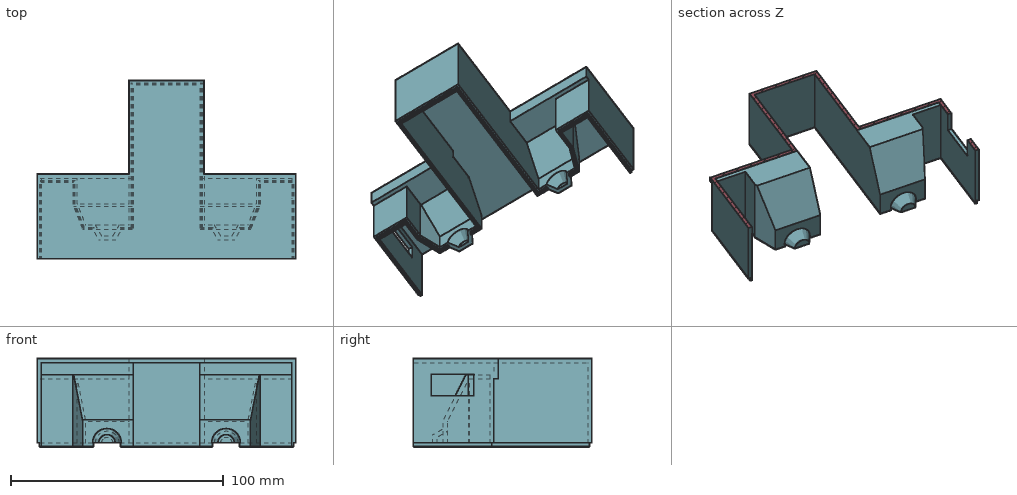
import cadquery as cq
import math

wall = 2.0
bar_length = 121.75
bar_depth = 40.0
stem_width = 35.5
total_depth = 84.0
wall_height = 39.75

lip_height = 2.0
lip_inset = 1.0
lip_chamfer = 0.4

recess_back_y = bar_depth - 2 * wall
recess_top_z = 32.15
block_base_x = 44.2
block_front_x = 39.5
block_front_y = 14.0
block_taper_end_y = 26.0
block_knee_z = 10.75
block_slope_top_y = 24.8

boss_x = 28.0
boss_base_radius = 6.75
boss_tip_radius = 3.85
boss_length = 5.0
notch_half_width = 6.25

window_front_y = 8.5
window_width = 20.0
window_bottom_z = 22.25
window_height = 10.0

margin = 10.0


def t_prism(inset, bottom, top):
    """T-shaped prism with its outline moved inward by inset; the front stays open past Y = 0."""
    half_bar = bar_length / 2 - inset
    bar = cq.Workplane("XY").box(2 * half_bar, bar_depth - inset + margin, top - bottom, centered=False)
    bar = bar.translate((-half_bar, -margin, bottom))
    half_stem = stem_width / 2 - inset
    stem = cq.Workplane("XY").box(2 * half_stem, total_depth - inset, top - bottom, centered=False)
    return bar.union(stem.translate((-half_stem, 0, bottom)))


def recesses(inset):
    """Both corner recesses, shrunk by inset from the faces seen inside the cover."""
    stem_x = stem_width / 2 - wall
    far_x = bar_length / 2 + margin
    far_y = total_depth + margin
    low_z = -lip_height - margin
    plan = [
        (stem_x, block_front_y),
        (block_front_x, block_front_y),
        (block_base_x, block_taper_end_y),
        (block_base_x, recess_back_y),
        (far_x, recess_back_y),
        (far_x, far_y),
        (stem_x, far_y),
    ]
    profile = [
        (block_front_y, low_z),
        (block_front_y, block_knee_z),
        (block_slope_top_y, recess_top_z),
        (far_y, recess_top_z),
        (far_y, low_z),
    ]
    column = cq.Workplane("XY").workplane(offset=low_z).polyline(plan).close()
    limit = cq.Workplane("YZ").polyline(profile).close()
    if inset > 0:
        column = column.offset2D(-inset, "intersection")
        limit = limit.offset2D(-inset, "intersection")
    right = column.extrude(wall_height - low_z).intersect(limit.extrude(far_x))
    return right.union(right.mirror("YZ"))


def shell_layer(inset, bottom, top):
    """Solid between two heights whose outer faces are moved inward by inset, cut off at Y = 0."""
    front = cq.Workplane("XY").box(bar_length, margin, top - bottom, centered=(True, False, False))
    layer = t_prism(inset, bottom, top).cut(recesses(wall - inset))
    return layer.cut(front.translate((0, -margin, bottom)))


def cavity():
    """Room inside the cover, leaving the walls around the recesses standing."""
    return t_prism(wall, -lip_height - margin, wall_height - wall).cut(recesses(0))


def half_cone(x, base_y, base_radius, tip_y, tip_radius):
    """Upper half of a cone narrowing toward -Y, resting on Z = 0."""
    base_center = cq.Vector(x, base_y, 0)
    toward_front = cq.Vector(0, -1, 0)
    cone = cq.Solid.makeCone(base_radius, tip_radius, base_y - tip_y, base_center, toward_front)
    upper = cq.Workplane("XY").box(bar_length, total_depth, wall_height, centered=(True, False, False))
    return cq.Workplane(cone).intersect(upper)


def boss_skin(x):
    """Solid outer shape of a boss on the front of a block."""
    tip_y = block_front_y - boss_length
    return half_cone(x, block_front_y, boss_base_radius, tip_y, boss_tip_radius)


def boss_hollow(x):
    """Hollow of a boss, one wall thickness inside its skin, opening into the recess."""
    taper = (boss_base_radius - boss_tip_radius) / boss_length
    radial_wall = wall * math.hypot(1, taper)
    base_radius = boss_base_radius - radial_wall + taper * wall
    tip_radius = boss_tip_radius - radial_wall + taper * wall
    return half_cone(x, block_front_y + wall, base_radius, block_front_y - boss_length + wall, tip_radius)


def lip(room):
    """Lip under the walls, interrupted below the bosses, with its bottom edges broken."""
    ring = shell_layer(lip_inset, -lip_height, 0).cut(room)
    for x in (-boss_x, boss_x):
        notch = cq.Workplane("XY").box(2 * notch_half_width, 2 * wall, 2 * lip_height)
        ring = ring.cut(notch.translate((x, block_front_y + wall / 2, -lip_height / 2)))
    return ring.faces("<Z").edges().chamfer(lip_chamfer)


def window():
    """Cutting body for the window."""
    opening = cq.Workplane("XY").box(2 * wall, window_width, window_height, centered=(True, False, False))
    return opening.translate((bar_length / 2, window_front_y, window_bottom_z))


room = cavity()
cover = shell_layer(0, 0, wall_height).cut(room)
cover = cover.union(lip(room))
for x in (-boss_x, boss_x):
    cover = cover.union(boss_skin(x)).cut(boss_hollow(x))
result = cover.cut(window())